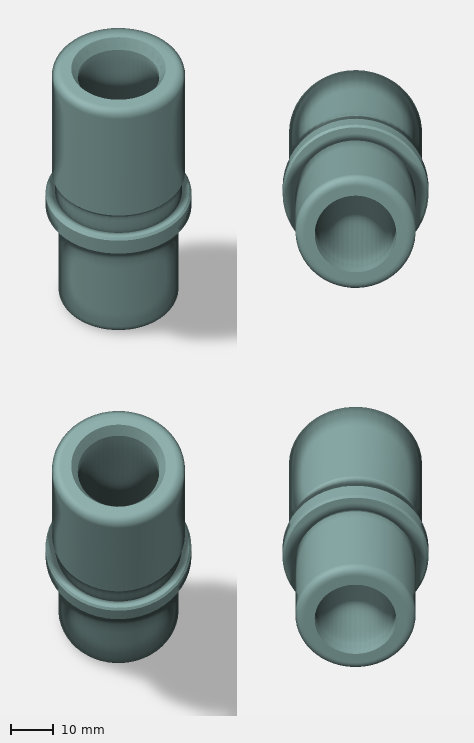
import cadquery as cq

total_length = 70.0
relief_bottom_z = 25.0
flange_bottom_z = 27.0
flange_thickness = 5.0
flange_top_z = flange_bottom_z + flange_thickness
groove_top_z = 37.0
groove_shoulder_height = 1.0

upper_diameter = 31.0
groove_diameter = 29.6
flange_diameter = 34.0
lower_diameter = 28.0
relief_diameter = 26.5
bore_diameter = 19.0
bore_mouth_diameter = 22.0

end_round_radius = 2.0
flange_chamfer = 0.5
bore_mouth_depth = 2.6


def make_body():
    """Solid turned body with the lower spigot, flange, groove and upper barrel."""
    upper_radius = upper_diameter / 2
    groove_radius = groove_diameter / 2
    flange_radius = flange_diameter / 2
    lower_radius = lower_diameter / 2
    relief_radius = relief_diameter / 2
    profile = (
        cq.Workplane("XZ")
        .moveTo(0, 0)
        .lineTo(lower_radius - end_round_radius, 0)
        .radiusArc((lower_radius, end_round_radius), -end_round_radius)
        .lineTo(lower_radius, relief_bottom_z)
        .lineTo(relief_radius, flange_bottom_z)
        .lineTo(flange_radius - flange_chamfer, flange_bottom_z)
        .lineTo(flange_radius, flange_bottom_z + flange_chamfer)
        .lineTo(flange_radius, flange_top_z - flange_chamfer)
        .lineTo(flange_radius - flange_chamfer, flange_top_z)
        .lineTo(groove_radius, flange_top_z)
        .lineTo(groove_radius, groove_top_z)
        .lineTo(upper_radius, groove_top_z + groove_shoulder_height)
        .lineTo(upper_radius, total_length - end_round_radius)
        .radiusArc((upper_radius - end_round_radius, total_length), -end_round_radius)
        .lineTo(0, total_length)
        .close()
    )
    return profile.revolve(360, (0, 0, 0), (0, 1, 0))


def make_bore():
    """Through bore with a conical mouth at the top end."""
    bore_radius = bore_diameter / 2
    profile = (
        cq.Workplane("XZ")
        .moveTo(0, 0)
        .lineTo(bore_radius, 0)
        .lineTo(bore_radius, total_length - bore_mouth_depth)
        .lineTo(bore_mouth_diameter / 2, total_length)
        .lineTo(0, total_length)
        .close()
    )
    return profile.revolve(360, (0, 0, 0), (0, 1, 0))


result = make_body().cut(make_bore())